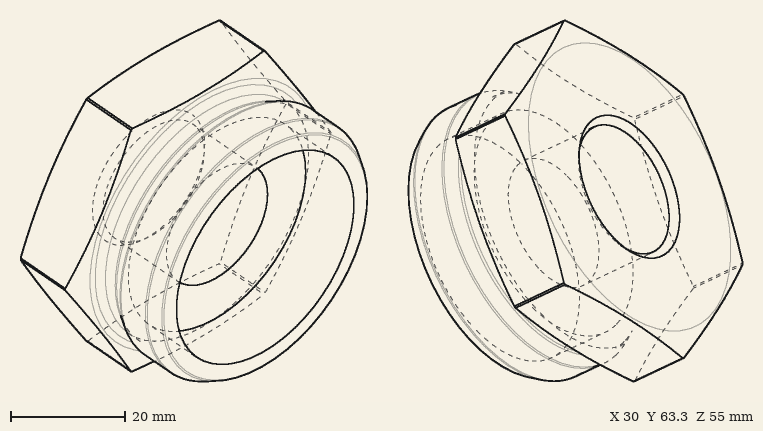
import cadquery as cq
import math

total_length = 30.0
head_thickness = 14.0
head_across_flats = 55.0
head_across_corners = 63.3
head_face_diameter = 53.9
head_chamfer_angle = 15.0

neck_diameter = 48.9
collar_diameter = 52.0
neck_length = 4.05
collar_end_length = 2.65
taper_angle = 30.0
root_fillet = 1.25
neck_fillet = 1.0
collar_fillet = 0.75
end_fillet = 0.4

bore_diameter = 24.2
bore_mouth_diameter = 26.8
bore_chamfer_depth = (bore_mouth_diameter - bore_diameter) / 2
recess_diameter = 42.35
recess_depth = 12.4


def revolve_about_x(points):
    """Turn a closed (x, radius) outline about the X axis."""
    return cq.Workplane("XY").polyline(points).close().revolve(360, (0, 0, 0), (1, 0, 0))


def cylinder_along_x(diameter, start, length):
    return cq.Workplane("YZ", origin=(start, 0, 0)).circle(diameter / 2).extrude(length)


def make_head():
    sharp_corners = head_across_flats / math.cos(math.radians(30))
    hexagon = cq.Workplane("YZ").polygon(6, sharp_corners).extrude(head_thickness)

    face_radius = head_face_diameter / 2
    corner_radius = head_across_corners / 2
    chamfer_depth = (corner_radius - face_radius) * math.tan(math.radians(head_chamfer_angle))
    envelope = revolve_about_x([
        (0, 0),
        (0, face_radius),
        (chamfer_depth, corner_radius),
        (head_thickness - chamfer_depth, corner_radius),
        (head_thickness, face_radius),
        (head_thickness, 0),
    ])
    return hexagon.intersect(envelope)


def make_spigot():
    neck_radius = neck_diameter / 2
    collar_radius = collar_diameter / 2
    taper_slope = math.tan(math.radians(taper_angle))
    neck_end = head_thickness + neck_length
    collar_start = neck_end + (collar_radius - neck_radius) / taper_slope
    collar_end = total_length - collar_end_length
    end_radius = collar_radius - collar_end_length * taper_slope
    spigot = revolve_about_x([
        (head_thickness, 0),
        (head_thickness, neck_radius),
        (neck_end, neck_radius),
        (collar_start, collar_radius),
        (collar_end, collar_radius),
        (total_length, end_radius),
        (total_length, 0),
    ])
    rounded_edges = [
        (neck_end, neck_fillet),
        (collar_start, collar_fillet),
        (collar_end, collar_fillet),
        (total_length, end_fillet),
    ]
    for position, radius in rounded_edges:
        edge = cq.selectors.NearestToPointSelector((position, 0, 0))
        spigot = spigot.edges("%CIRCLE").edges(edge).fillet(radius)
    return spigot


def make_root_fillet():
    """Concave ring joining the neck to the back face of the head."""
    inner = neck_diameter / 2
    outer = inner + root_fillet
    end = head_thickness + root_fillet
    diagonal = root_fillet * (1 - math.sqrt(0.5))
    return (
        cq.Workplane("XY")
        .moveTo(head_thickness, inner)
        .lineTo(head_thickness, outer)
        .threePointArc((head_thickness + diagonal, inner + diagonal), (end, inner))
        .close()
        .revolve(360, (0, 0, 0), (1, 0, 0))
    )


def make_bore():
    mouth_radius = bore_mouth_diameter / 2
    mouth = revolve_about_x([
        (0, 0),
        (0, mouth_radius),
        (bore_chamfer_depth, bore_diameter / 2),
        (bore_chamfer_depth, 0),
    ])
    through_bore = cylinder_along_x(bore_diameter, 0, total_length)
    recess = cylinder_along_x(recess_diameter, total_length - recess_depth, recess_depth)
    return through_bore.union(mouth).union(recess)


result = make_head().union(make_spigot()).union(make_root_fillet()).cut(make_bore())